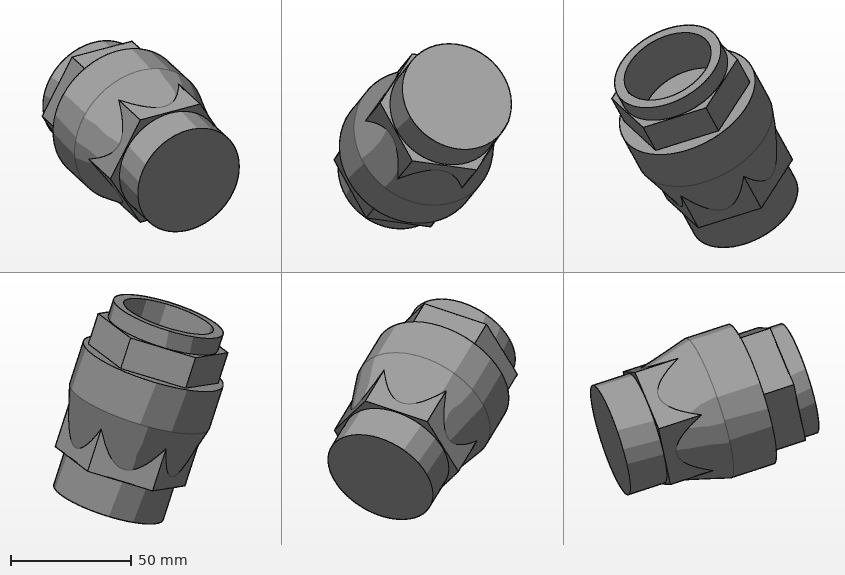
import cadquery as cq
import math

total_length = 83.5
pipe_diameter = 47.85
bore_diameter = 39.1
bore_depth = 21.2
hex_across_flats = 48.9
body_diameter = 61.0

front_hex_start = 7.5
body_start = 21.2
cone_start = 40.25
cone_end = 62.1
rear_hex_end = 67.4

hex_across_corners = hex_across_flats / math.cos(math.pi / 6)


def axial_plane(x):
    return cq.Workplane("YZ", origin=(x, 0, 0))


def cylinder(x_start, x_end, diameter):
    return axial_plane(x_start).circle(diameter / 2).extrude(x_end - x_start)


pipe = cylinder(0, total_length, pipe_diameter)
hexagon = (
    axial_plane(front_hex_start)
    .polygon(6, hex_across_corners)
    .extrude(rear_hex_end - front_hex_start)
)

body = (
    cq.Workplane("XY")
    .moveTo(body_start, 0)
    .lineTo(body_start, body_diameter / 2)
    .lineTo(cone_start, body_diameter / 2)
    .lineTo(cone_end, hex_across_flats / 2)
    .lineTo(cone_end, 0)
    .close()
    .revolve(360, (0, 0, 0), (1, 0, 0))
)

bore = cylinder(0, bore_depth, bore_diameter)

result = pipe.union(hexagon).union(body).cut(bore)